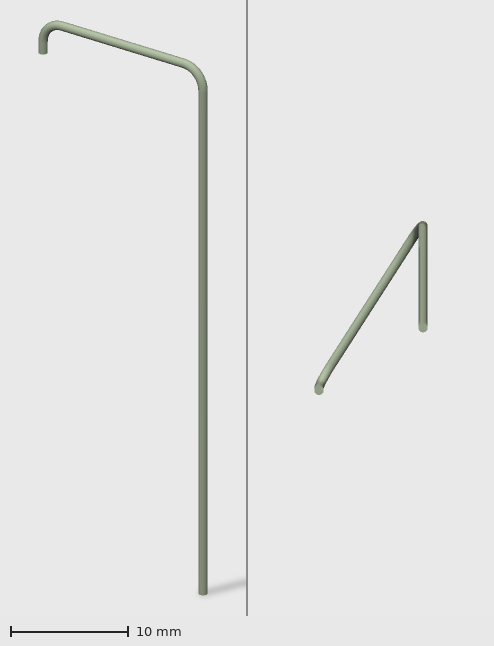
import cadquery as cq

total_height = 49.9
total_width = 17.3
wire_diameter = 0.8

bend_radius = 2.0
hook_drop = 3.45

wire_radius = wire_diameter / 2
leg_x = total_width / 2 - wire_radius
bend_start_x = leg_x - bend_radius
centreline_top = total_height - wire_radius
bend_start_z = centreline_top - bend_radius
hook_tip_z = total_height - hook_drop

centreline = (
    cq.Workplane("XZ")
    .moveTo(leg_x, 0)
    .lineTo(leg_x, bend_start_z)
    .radiusArc((bend_start_x, centreline_top), -bend_radius)
    .lineTo(-bend_start_x, centreline_top)
    .radiusArc((-leg_x, bend_start_z), -bend_radius)
    .lineTo(-leg_x, hook_tip_z)
)

result = (
    cq.Workplane("XY")
    .center(leg_x, 0)
    .circle(wire_radius)
    .sweep(centreline)
)